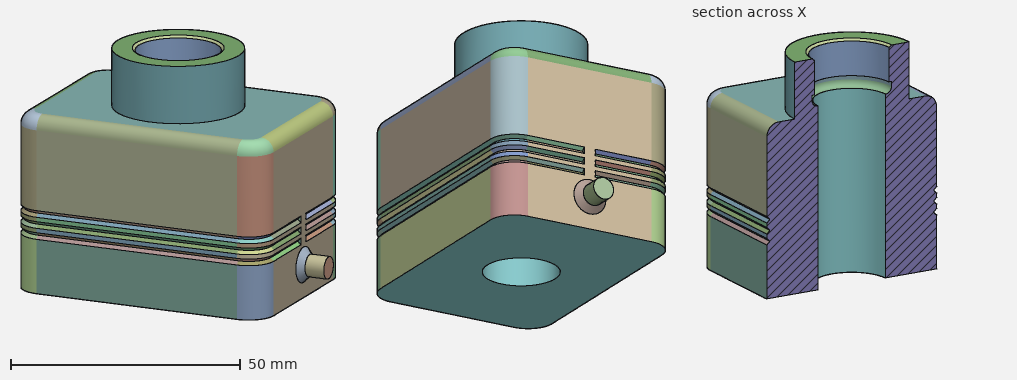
import cadquery as cq

body_length = 60.0
body_width = 43.0
body_height = 40.0
corner_radius = 6.0
top_edge_radius = 3.0

boss_diameter = 29.0
boss_height = 13.0

collar_diameter = 18.8
collar_length = 8.4
relief_diameter = 20.0
relief_depth = 11.0
mouth_chamfer_depth = 0.5
passage_diameter = 17.0

peg_span = 72.0
peg_diameter = 5.0
peg_height = 7.5
peg_root_diameter = 8.0
peg_root_length = 1.5

groove_count = 3
groove_depth = 0.75
groove_pitch = 2.5
groove_angle = 45.0
lowest_groove_height = 13.1
groove_gap = 2.8

boss_top = body_height + boss_height
relief_floor = boss_top - relief_depth
floor_radius = (relief_diameter - passage_diameter) / 2


def rounded_outline(height):
    """Body cross-section drawn at the given height."""
    outline = cq.Sketch().rect(body_length, body_width).vertices().fillet(corner_radius)
    return cq.Workplane("XY", origin=(0, 0, height)).placeSketch(outline)


def make_body():
    block = rounded_outline(0).extrude(body_height)
    return block.faces(">Z").edges().fillet(top_edge_radius)


def make_groove(height):
    """Ring with a V section, centred on the given height, open at the gaps above the pegs."""
    ring = rounded_outline(height - groove_depth).extrude(2 * groove_depth)
    lower_core = rounded_outline(height - groove_depth).extrude(groove_depth, taper=groove_angle)
    upper_core = lower_core.mirror("XY", (0, 0, height))
    gap = cq.Workplane("XY", origin=(0, 0, height)).box(body_length, groove_gap, 2 * groove_depth)
    return ring.cut(lower_core).cut(upper_core).cut(gap)


def make_boss():
    return cq.Workplane("XY", origin=(0, 0, body_height)).circle(boss_diameter / 2).extrude(boss_height)


def make_bore():
    """Half section of the whole cable passage, turned about the Z axis."""
    collar_radius = collar_diameter / 2
    relief_radius = relief_diameter / 2
    passage_radius = passage_diameter / 2
    collar_bottom = boss_top - collar_length
    return (
        cq.Workplane("XZ")
        .moveTo(0, 0)
        .lineTo(passage_radius, 0)
        .lineTo(passage_radius, relief_floor)
        .radiusArc((relief_radius, relief_floor + floor_radius), -floor_radius)
        .lineTo(relief_radius, collar_bottom)
        .lineTo(collar_radius, collar_bottom)
        .lineTo(collar_radius, boss_top - mouth_chamfer_depth)
        .lineTo(relief_radius, boss_top)
        .lineTo(0, boss_top)
        .close()
        .revolve(360, (0, 0, 0), (0, 1, 0))
    )


def make_peg():
    """Peg with a conical root, standing on the +X side."""
    side = body_length / 2
    return (
        cq.Workplane("XY")
        .moveTo(side - peg_root_length, 0)
        .lineTo(peg_span / 2, 0)
        .lineTo(peg_span / 2, peg_diameter / 2)
        .lineTo(side + peg_root_length, peg_diameter / 2)
        .lineTo(side, peg_root_diameter / 2)
        .lineTo(side - peg_root_length, peg_root_diameter / 2)
        .close()
        .revolve(360, (0, 0, 0), (1, 0, 0))
        .translate((0, 0, peg_height))
    )


result = make_body()
for index in range(groove_count):
    result = result.cut(make_groove(lowest_groove_height + index * groove_pitch))

peg = make_peg()
result = result.union(make_boss()).union(peg).union(peg.mirror("YZ")).cut(make_bore())